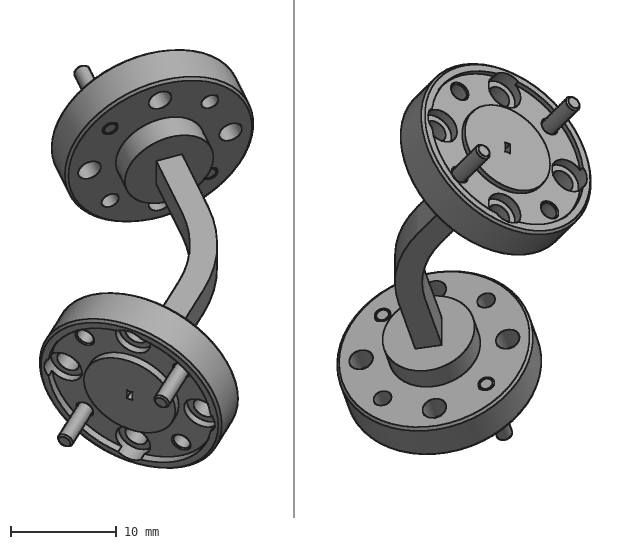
import cadquery as cq
import math

bend_angle = 45.0
bend_radius = 12.7
straight_length = 13.9
tube_width = 2.6
tube_height = 3.3
bore_width = 0.55
bore_height = 1.1

flange_diameter = 19.05
flange_thickness = 4.2
flange_chamfer = 0.25
hub_diameter = 8.95
hub_length = 2.5

boss_diameter = 9.55
rim_inner_diameter = 17.1
inlet_recess_depth = 0.5
outlet_recess_depth = 0.78

pitch_radius = 7.1
screw_hole_diameter = 2.3
counterbore_diameter = 3.6
counterbore_depth = 1.5
free_hole_diameter = 1.73
mouth_chamfer = 0.15
chamfer_taper = 45

pin_diameter = 1.55
pin_protrusion = 3.8
pin_chamfer = 0.17

pin_offset = pitch_radius / math.sqrt(2)
screw_points = [(pitch_radius, 0), (0, pitch_radius), (-pitch_radius, 0), (0, -pitch_radius)]
pin_points = [(pin_offset, pin_offset), (-pin_offset, -pin_offset)]
free_points = [(-pin_offset, pin_offset), (pin_offset, -pin_offset)]

sin_bend = math.sin(math.radians(bend_angle))
cos_bend = math.cos(math.radians(bend_angle))
sin_half = math.sin(math.radians(bend_angle / 2))
cos_half = math.cos(math.radians(bend_angle / 2))
bend_start = (straight_length, 0)
bend_middle = (straight_length + bend_radius * sin_half, -bend_radius * (1 - cos_half))
bend_end = (straight_length + bend_radius * sin_bend, -bend_radius * (1 - cos_bend))
run_end = (bend_end[0] + straight_length * cos_bend, bend_end[1] - straight_length * sin_bend)

inlet_plane = cq.Plane(origin=(0, 0, 0), xDir=(0, -1, 0), normal=(-1, 0, 0))
outlet_plane = cq.Plane(
    origin=(run_end[0], run_end[1], 0),
    xDir=(sin_bend, cos_bend, 0),
    normal=(cos_bend, -sin_bend, 0),
)
flange_ends = [(inlet_plane, inlet_recess_depth), (outlet_plane, outlet_recess_depth)]


def run_bar(width, height):
    """Rectangular bar that follows the whole centre line."""
    path = (
        cq.Workplane("XY")
        .lineTo(*bend_start)
        .threePointArc(bend_middle, bend_end)
        .lineTo(*run_end)
    )
    return cq.Workplane("YZ").rect(width, height).sweep(path)


def cylinders(plane, points, diameter, depth):
    """Cylinders that go from the flange face into the flange."""
    return cq.Workplane(plane).pushPoints(points).circle(diameter / 2).extrude(-depth)


def mouth_chamfers(plane, points, diameter, floor_depth):
    """Cones that bevel hole mouths opening on the recess floor."""
    return (
        cq.Workplane(plane)
        .workplane(offset=-floor_depth)
        .pushPoints(points)
        .circle(diameter / 2 + mouth_chamfer)
        .extrude(-mouth_chamfer, taper=chamfer_taper)
    )


def flange(plane, recess_depth):
    """Flange with hub, face recess and all holes."""
    disc = (
        cq.Workplane(plane)
        .circle(flange_diameter / 2)
        .extrude(-flange_thickness)
        .edges()
        .chamfer(flange_chamfer)
    )
    hub = cylinders(plane, [(0, 0)], hub_diameter, flange_thickness + hub_length)
    recess = (
        cq.Workplane(plane)
        .circle(rim_inner_diameter / 2)
        .circle(boss_diameter / 2)
        .extrude(-recess_depth)
    )
    return (
        disc.union(hub)
        .cut(recess)
        .cut(cylinders(plane, screw_points, screw_hole_diameter, flange_thickness))
        .cut(cylinders(plane, screw_points, counterbore_diameter, counterbore_depth))
        .cut(cylinders(plane, free_points, free_hole_diameter, flange_thickness))
        .cut(cylinders(plane, pin_points, pin_diameter, flange_thickness))
        .cut(mouth_chamfers(plane, free_points, free_hole_diameter, recess_depth))
        .cut(mouth_chamfers(plane, pin_points, pin_diameter, recess_depth))
    )


def dowel_pin(plane, point):
    """Pin from the back of the flange out past its face, chamfered at both ends."""
    return (
        cq.Workplane(plane)
        .workplane(offset=-flange_thickness)
        .center(*point)
        .circle(pin_diameter / 2)
        .extrude(flange_thickness + pin_protrusion)
        .edges()
        .chamfer(pin_chamfer)
    )


waveguide = run_bar(tube_width, tube_height)
for plane, recess_depth in flange_ends:
    waveguide = waveguide.union(flange(plane, recess_depth))
waveguide = waveguide.cut(run_bar(bore_width, bore_height))

pins = [dowel_pin(plane, point) for plane, _ in flange_ends for point in pin_points]

result = cq.Compound.makeCompound([waveguide.val(), *[pin.val() for pin in pins]])